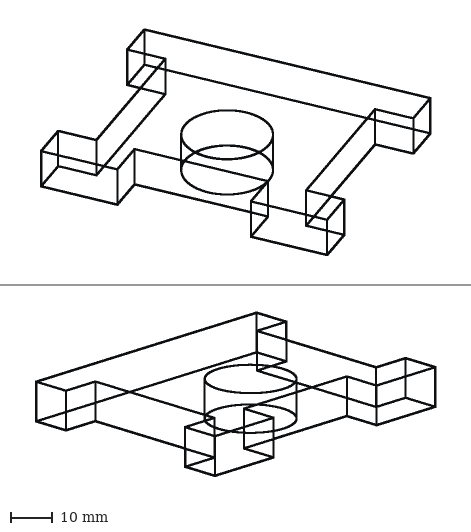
import cadquery as cq

length = 75.0
width = 60.0
thickness = 10.0

lug_depth = length * 2 / 15
foot_length = 2 * lug_depth

hole_diameter = 22.0
hole_from_front = 2.5 * lug_depth

side_notch_width = width - 2 * lug_depth
front_notch_length = length - 2 * foot_length

plate = cq.Workplane("XY").box(length, width, thickness, centered=(True, True, False))


def edge_notch(x_size, y_size, x_center, y_center):
    """Full-thickness rectangular cutter centred at the given place."""
    notch = cq.Workplane("XY").box(x_size, y_size, thickness, centered=(True, True, False))
    return notch.translate((x_center, y_center, 0))


for side in (-1, 1):
    notch_x = side * (length - lug_depth) / 2
    plate = plate.cut(edge_notch(lug_depth, side_notch_width, notch_x, 0))

front_notch_y = (lug_depth - width) / 2
plate = plate.cut(edge_notch(front_notch_length, lug_depth, 0, front_notch_y))

hole_y = hole_from_front - width / 2
hole = cq.Workplane("XY").center(0, hole_y).circle(hole_diameter / 2).extrude(thickness)

result = plate.cut(hole)